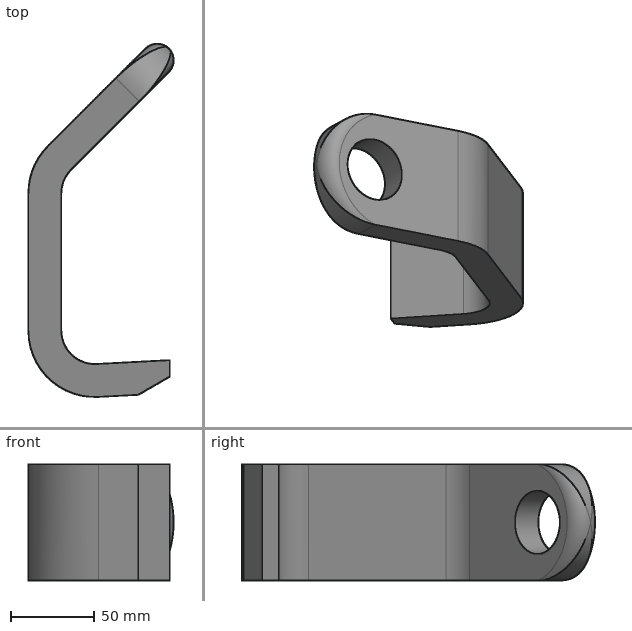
import cadquery as cq
import math

thickness = 20.0
width = 70.0
inner_radius = 20.0
web_length = 82.5
arm_angle = 45.0
arm_length = 58.0
hook_slope = 3.0
hook_tip_x = 85.0
tip_height = 10.0
tip_bevel_angle = 30.0
hole_diameter = 38.0

outer_radius = inner_radius + thickness
eye_radius = width / 2
edge_round = thickness / 2
lower_center = (outer_radius, outer_radius)
upper_center = (outer_radius, outer_radius + web_length)


def polar(center, radius, angle):
    """Point at an angle in degrees, counterclockwise from +X."""
    a = math.radians(angle)
    return (center[0] + radius * math.cos(a), center[1] + radius * math.sin(a))


arm_heading = 90 - arm_angle
arm_normal = 180 - arm_angle
leg_normal = 270 + hook_slope
outer_bend_end = polar(upper_center, outer_radius, arm_normal)
eye_origin = polar(outer_bend_end, arm_length, arm_heading)
eye_plane = cq.Plane(
    origin=(eye_origin[0], eye_origin[1], 0),
    xDir=polar((0, 0), 1, arm_heading) + (0,),
    normal=polar((0, 0), 1, arm_normal - 180) + (0,),
)


def make_strip():
    """Constant-width strip, from the lower tip to the eye centre."""
    inner_eye = polar(eye_origin, thickness, arm_normal - 180)
    leg_inner = polar(lower_center, inner_radius, leg_normal)
    leg_outer = polar(lower_center, outer_radius, leg_normal)
    slope = math.tan(math.radians(hook_slope))
    bevel = math.tan(math.radians(tip_bevel_angle))
    tip_top = leg_inner[1] + slope * (hook_tip_x - leg_inner[0])
    tip_bottom = tip_top - tip_height
    leg_outer_at_tip = leg_outer[1] + slope * (hook_tip_x - leg_outer[0])
    bevel_run = (tip_bottom - leg_outer_at_tip) / (bevel - slope)
    lower_middle = 180 + (leg_normal - 180) / 2
    upper_middle = 180 - arm_angle / 2
    return (
        cq.Workplane("XY")
        .moveTo(*eye_origin)
        .lineTo(*outer_bend_end)
        .threePointArc(polar(upper_center, outer_radius, upper_middle), (0, upper_center[1]))
        .lineTo(0, lower_center[1])
        .threePointArc(polar(lower_center, outer_radius, lower_middle), leg_outer)
        .lineTo(hook_tip_x - bevel_run, tip_bottom - bevel * bevel_run)
        .lineTo(hook_tip_x, tip_bottom)
        .lineTo(hook_tip_x, tip_top)
        .lineTo(*leg_inner)
        .threePointArc(polar(lower_center, inner_radius, lower_middle), (thickness, lower_center[1]))
        .lineTo(thickness, upper_center[1])
        .threePointArc(
            polar(upper_center, inner_radius, upper_middle),
            polar(upper_center, inner_radius, arm_normal),
        )
        .lineTo(*inner_eye)
        .close()
        .extrude(width / 2, both=True)
    )


def make_eye_end():
    """Half-disc end whose edge rounding grows from nothing at the sides to full at the tip."""
    cap = (
        cq.Workplane(eye_plane)
        .moveTo(0, -eye_radius)
        .threePointArc((eye_radius, 0), (0, eye_radius))
        .close()
        .extrude(thickness)
    )
    flat_reach = eye_radius - edge_round
    flat_radius = (eye_radius**2 + flat_reach**2) / (2 * flat_reach)
    round_plane = cq.Plane(
        origin=eye_plane.toWorldCoords((flat_reach - flat_radius, 0, 0)),
        xDir=eye_plane.xDir,
        normal=eye_plane.yDir * -1,
    )
    rounded_disc = (
        cq.Workplane(round_plane)
        .lineTo(flat_radius, 0)
        .threePointArc((flat_radius + edge_round, edge_round), (flat_radius, thickness))
        .lineTo(0, thickness)
        .close()
        .revolve(360, (0, 0), (0, 1))
    )
    return cap.intersect(rounded_disc)


hole = cq.Workplane(eye_plane).circle(hole_diameter / 2).extrude(thickness)
result = make_strip().union(make_eye_end()).cut(hole)